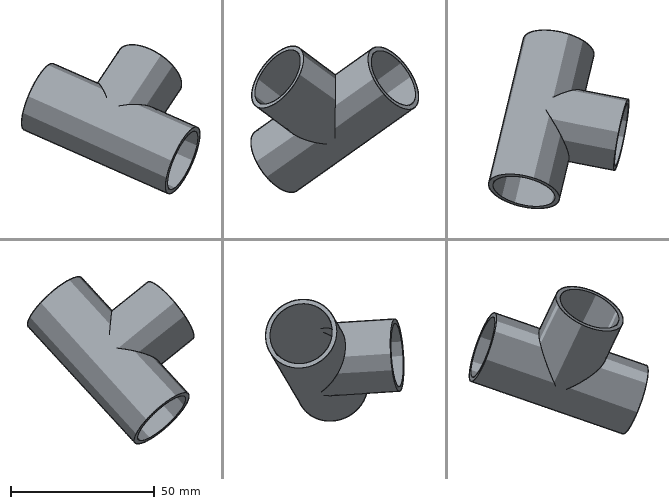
import cadquery as cq

run_length = 57.15
outer_diameter = 25.4
bore_diameter = 22.1
branch_reach = run_length / 2


def tee_cylinders(diameter):
    """Solid run and branch of one diameter, meeting at the origin."""
    radius = diameter / 2
    run = cq.Workplane("YZ").circle(radius).extrude(run_length / 2, both=True)
    branch = cq.Workplane("XZ").circle(radius).extrude(-branch_reach)
    return run.union(branch)


result = tee_cylinders(outer_diameter).cut(tee_cylinders(bore_diameter))